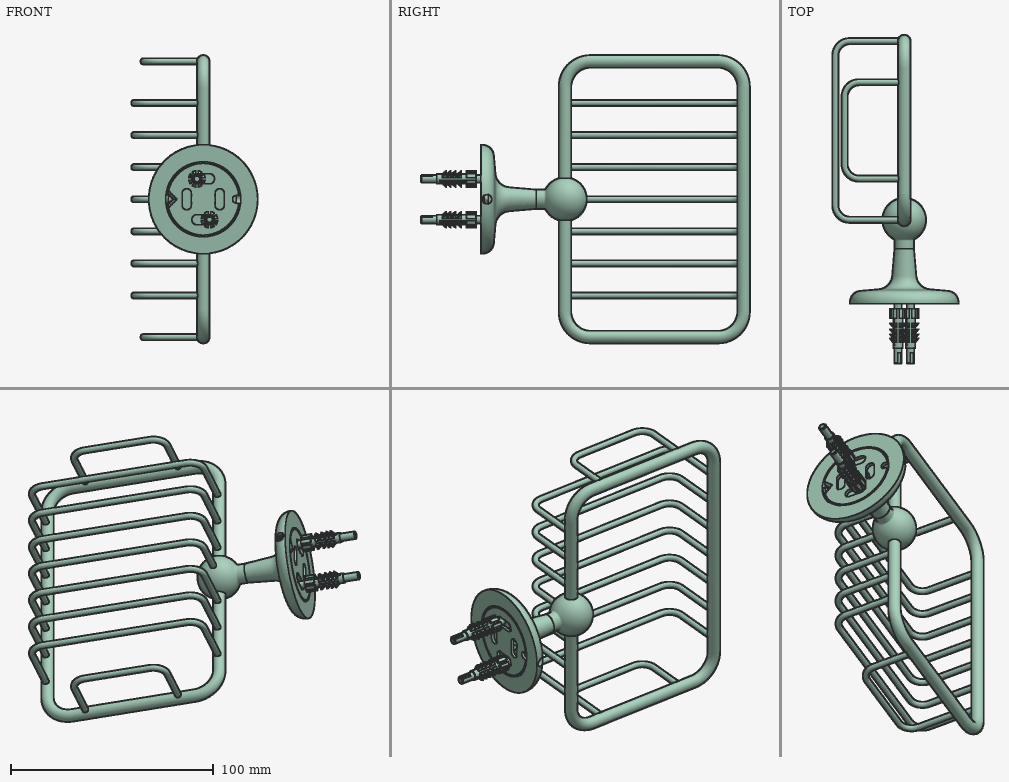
import cadquery as cq
import math


bar_dia = 6.3
wire_dia = bar_dia / 2
frame_height = 142.3
frame_depth = 94.5
frame_far_y = 132.7
overall_depth = 162.2
frame_bend = 12.7
wire_bend = 7.1
rung_count = 7
rung_span = 94.9
rung_reach = 35.5
end_loop_reach = 31.0
end_loop_span = 47.5

frame_y_max = frame_far_y - bar_dia / 2
frame_y_min = frame_far_y - frame_depth + bar_dia / 2
frame_y_mid = (frame_y_min + frame_y_max) / 2
frame_z = (frame_height - bar_dia) / 2

ball_radius = 10.9
neck_radius = 4.9
neck_fillet = 0.8
neck_end_y = 27.3

rose_radius = 27.0
rim_height = 0.6
shoulder_y = 6.5
dish_slope = math.radians(5)
flare_radius = 12.5
stem_base_radius = 6.0
stem_base_y = 14.0
recess_radius = 18.5
recess_depth = 3.5
bore_mouth_radius = 6.0
bore_radius = 4.9
bore_taper_end_y = 6.8
bore_end_y = 13.0
access_hole_depth = 10.5

shoulder_radius = rose_radius - (shoulder_y - rim_height) * math.tan(math.pi / 4 - dish_slope / 2)
flare_y = shoulder_y + (shoulder_radius - flare_radius) * math.tan(dish_slope)

plate_radius = 17.7
plate_thickness = 1.6
screw_slot_length = 11.2
screw_slot_width = 5.0
screw_slot_z = 10.0
side_slot_length = 10.4
side_slot_width = 4.5
side_slot_x = 8.1
vee_apex = 14.8
vee_bevel = 1.3
edge_slot_width = 3.7
edge_slot_end = 14.5

set_screw_radius = 2.3
set_screw_y = 3.1
set_screw_tip = 15.0
set_screw_head = 24.3
set_screw_chamfer = 0.5
socket_across_corners = 2.3
socket_depth = 2.0

screw_x = 3.1
screw_radius = 2.0
screw_tip_y = frame_far_y - overall_depth
screw_chamfer = 0.5
flute_length = 5.5
flute_height = 1.3
anchor_start_y = -2.3
anchor_end_y = -21.7
anchor_radius = 2.5
head_length = 4.9
head_radius = 4.0
barb_positions = (-9.5, -12.5, -15.0, -17.0)
barb_length = 2.0
rib_count = 8
rib_groove_width = 1.1
slit_width = 0.8
slit_start_y = -7.3
slit_end_y = -20.3
slit_angle = 30


def cylinder_along_y(radius, y_start, y_end):
    """Cylinder on the Y axis between two Y positions."""
    return cq.Workplane("XZ", origin=(0, y_start, 0)).circle(radius).extrude(y_start - y_end)


def revolved_about_y(outline):
    """Solid of revolution about the Y axis of a closed outline in the XY plane."""
    return outline.revolve(360, (0, 0, 0), (0, 1, 0))


def revolved_about_x(outline):
    """Solid of revolution about the X direction through the outline's own origin."""
    return outline.revolve(360, (0, 0, 0), (1, 0, 0))


def make_frame():
    y_min, y_max, z, bend = frame_y_min, frame_y_max, frame_z, frame_bend
    path = (
        cq.Workplane("YZ")
        .moveTo(y_min, 0)
        .lineTo(y_min, z - bend)
        .tangentArcPoint((y_min + bend, z), relative=False)
        .lineTo(y_max - bend, z)
        .tangentArcPoint((y_max, z - bend), relative=False)
        .lineTo(y_max, bend - z)
        .tangentArcPoint((y_max - bend, -z), relative=False)
        .lineTo(y_min + bend, -z)
        .tangentArcPoint((y_min, bend - z), relative=False)
        .close()
    )
    return cq.Workplane("XY", origin=(0, y_min, 0)).circle(bar_dia / 2).sweep(path)


def make_wire_loop(y_start, y_end, reach, z):
    """U-shaped wire from the frame plane out to -X and back, at one height."""
    x = wire_dia / 2 - reach
    bend = wire_bend
    path = (
        cq.Workplane("XY", origin=(0, 0, z))
        .moveTo(0, y_start)
        .lineTo(x + bend, y_start)
        .tangentArcPoint((x, y_start + bend), relative=False)
        .lineTo(x, y_end - bend)
        .tangentArcPoint((x + bend, y_end), relative=False)
        .lineTo(0, y_end)
    )
    return cq.Workplane("YZ", origin=(0, y_start, z)).circle(wire_dia / 2).sweep(path)


def make_basket():
    basket = make_frame()
    for i in range(rung_count):
        z = rung_span * (i / (rung_count - 1) - 0.5)
        basket = basket.union(make_wire_loop(frame_y_min, frame_y_max, rung_reach, z))
    for z in (-frame_z, frame_z):
        y_start = frame_y_mid - end_loop_span / 2
        basket = basket.union(make_wire_loop(y_start, y_start + end_loop_span, end_loop_reach, z))
    return basket


def make_ball_joint(basket):
    ball = cq.Workplane("XY", origin=(0, frame_y_min, 0)).sphere(ball_radius)
    joint = ball.union(cylinder_along_y(neck_radius, frame_y_min, neck_end_y))
    neck_root_y = frame_y_min - math.sqrt(ball_radius**2 - neck_radius**2)
    margin = neck_fillet / 2
    around_neck_root = cq.selectors.BoxSelector(
        (-ball_radius, neck_root_y - margin, -ball_radius),
        (ball_radius, neck_root_y + margin, ball_radius),
    )
    joint = joint.edges(around_neck_root).fillet(neck_fillet)
    return joint.cut(basket)


def make_radial_hole(x_start, length):
    """Hole along X at the height of the set screw; a negative length runs towards -X."""
    return cq.Workplane("YZ", origin=(x_start, set_screw_y, 0)).circle(set_screw_radius).extrude(length)


def make_rose():
    outline = (
        cq.Workplane("XY")
        .lineTo(rose_radius, 0)
        .lineTo(rose_radius, rim_height)
        .tangentArcPoint((shoulder_radius, shoulder_y), relative=False)
        .lineTo(flare_radius, flare_y)
        .tangentArcPoint((stem_base_radius, stem_base_y), relative=False)
        .lineTo(neck_radius, neck_end_y)
        .lineTo(0, neck_end_y)
        .close()
    )
    bore = (
        cq.Workplane("XY")
        .lineTo(bore_mouth_radius, 0)
        .lineTo(bore_mouth_radius, recess_depth)
        .lineTo(bore_radius, bore_taper_end_y)
        .lineTo(bore_radius, bore_end_y)
        .lineTo(0, bore_end_y)
        .close()
    )
    rose = revolved_about_y(outline).cut(cylinder_along_y(recess_radius, 0, recess_depth))
    rose = rose.cut(revolved_about_y(bore))
    set_screw_hole = make_radial_hole(-rose_radius, rose_radius - set_screw_tip)
    access_hole = make_radial_hole(rose_radius, -access_hole_depth)
    return rose.cut(set_screw_hole).cut(access_hole)


def vee_outline(apex_distance):
    """Square-angled vee in the back plane, opening towards -X."""
    half_width = plate_radius
    return (
        cq.Workplane("XZ")
        .moveTo(-apex_distance, 0)
        .lineTo(-apex_distance - half_width, half_width)
        .lineTo(-apex_distance - half_width, -half_width)
        .close()
    )


def make_plate():
    plate = cylinder_along_y(plate_radius, 0, plate_thickness)
    for z in (-screw_slot_z, screw_slot_z):
        slot = cq.Workplane("XZ").center(0, z).slot2D(screw_slot_length, screw_slot_width)
        plate = plate.cut(slot.extrude(-plate_thickness))
    for x in (-side_slot_x, side_slot_x):
        slot = cq.Workplane("XZ").center(x, 0).slot2D(side_slot_length, side_slot_width, 90)
        plate = plate.cut(slot.extrude(-plate_thickness))

    plate = plate.cut(vee_outline(vee_apex).extrude(-plate_thickness))
    bevel_shift = vee_bevel * math.sqrt(2)
    bevel = vee_outline(vee_apex - bevel_shift).extrude(-vee_bevel, taper=45)
    plate = plate.cut(bevel)

    edge_slot = (
        cq.Workplane("XZ")
        .center(edge_slot_end + plate_radius / 2, 0)
        .slot2D(plate_radius, edge_slot_width)
        .extrude(-plate_thickness)
    )
    return plate.cut(edge_slot)


def make_set_screw():
    body = revolved_about_x(
        cq.Workplane("XY", origin=(0, set_screw_y, 0))
        .moveTo(-set_screw_tip, 0)
        .lineTo(-set_screw_tip - set_screw_radius, set_screw_radius)
        .lineTo(set_screw_chamfer - set_screw_head, set_screw_radius)
        .lineTo(-set_screw_head, set_screw_radius - set_screw_chamfer)
        .lineTo(-set_screw_head, 0)
        .close()
    )
    socket = (
        cq.Workplane("YZ", origin=(-set_screw_head, set_screw_y, 0))
        .polygon(6, socket_across_corners)
        .extrude(socket_depth)
    )
    return body.cut(socket)


def make_wall_screw():
    screw = cylinder_along_y(screw_radius, plate_thickness, screw_tip_y)
    screw = screw.faces("<Y").chamfer(screw_chamfer)
    flute = cq.Workplane("XY").box(
        screw_radius, flute_length, screw_radius, centered=False
    ).translate((0, screw_tip_y, flute_height))
    return screw.cut(flute)


def make_anchor():
    ribs = cylinder_along_y(head_radius, anchor_start_y, anchor_start_y - head_length)
    for y in barb_positions:
        barb = revolved_about_y(
            cq.Workplane("XY")
            .moveTo(0, y)
            .lineTo(head_radius, y)
            .lineTo(anchor_radius, y - barb_length)
            .lineTo(0, y - barb_length)
            .close()
        )
        ribs = ribs.union(barb)
    anchor_length = anchor_start_y - anchor_end_y
    for i in range(rib_count // 2):
        groove = (
            cq.Workplane("XY")
            .box(2 * head_radius, anchor_length, rib_groove_width, centered=(True, False, True))
            .translate((0, anchor_end_y, 0))
            .rotate((0, 0, 0), (0, 1, 0), i * 360 / rib_count)
        )
        ribs = ribs.cut(groove)
    anchor = cylinder_along_y(anchor_radius, anchor_start_y, anchor_end_y).union(ribs)

    slit = (
        cq.Workplane("XY")
        .box(2 * head_radius, slit_start_y - slit_end_y, slit_width, centered=(True, False, True))
        .translate((0, slit_end_y, 0))
        .rotate((0, 0, 0), (0, 1, 0), slit_angle)
    )
    screw_hole = cylinder_along_y(screw_radius, anchor_start_y, anchor_end_y)
    return anchor.cut(slit).cut(screw_hole)


basket = make_basket()
ball_joint = make_ball_joint(basket)
rose = make_rose()
plate = make_plate()
set_screw = make_set_screw()

wall_screws = []
anchors = []
for side in (-1, 1):
    place = (side * screw_x, 0, -side * screw_slot_z)
    wall_screws.append(make_wall_screw().translate(place).solids().val())
    anchors.append(make_anchor().translate(place).solids().val())

result = cq.Compound.makeCompound([
    basket.solids().val(),
    ball_joint.solids().val(),
    rose.solids().val(),
    plate.solids().val(),
    set_screw.solids().val(),
    *wall_screws,
    *anchors,
])